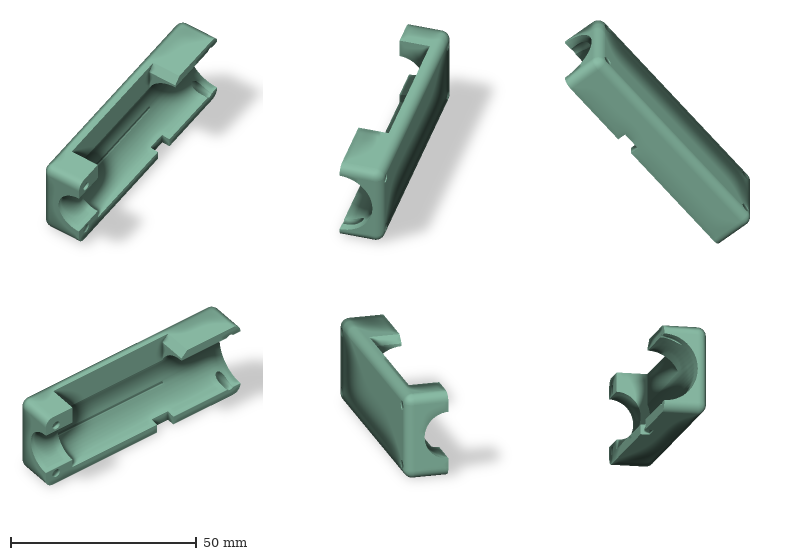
import cadquery as cq

DEPTH = 12.0
LENGTH = 66.0
HEIGHT = 24.0
MID_Z = HEIGHT / 2
EDGE_RADIUS = 2.5

HOLE_DIAMETER = 2.52
HOLE_INSET = 3.5

NECK_RADIUS = 6.65
BARREL_RADIUS = 9.25
NEAR_WALL = 9.0

CAVITY_END = 46.0
BACK_WALL = 3.5
CAVITY_FLOOR_Z = 7.5

LEAD_IN = 2.0

NOTCH_CENTER_Y = 40.5
NOTCH_WIDTH = 5.5
NOTCH_DEPTH = 2.4


def make_block():
    block = cq.Workplane("XY").box(DEPTH, LENGTH, HEIGHT, centered=False)
    return block.edges("|X or <X").fillet(EDGE_RADIUS)


def make_bore(radius, y_start, y_end):
    profile = cq.Workplane("XZ", origin=(DEPTH, y_start, MID_Z)).circle(radius)
    return profile.extrude(y_start - y_end)


def make_cavity():
    outline = [
        (NEAR_WALL, CAVITY_FLOOR_Z),
        (NEAR_WALL, HEIGHT),
        (CAVITY_END + LEAD_IN, HEIGHT),
        (CAVITY_END, HEIGHT - LEAD_IN),
        (CAVITY_END, CAVITY_FLOOR_Z),
    ]
    profile = cq.Workplane("YZ", origin=(BACK_WALL, 0, 0)).polyline(outline).close()
    return profile.extrude(DEPTH - BACK_WALL)


def make_notch():
    notch = cq.Workplane("XY").box(NOTCH_DEPTH, NOTCH_WIDTH, MID_Z, centered=(False, True, False))
    return notch.translate((DEPTH - NOTCH_DEPTH, NOTCH_CENTER_Y, 0))


def make_screw_holes():
    centers = [
        (y, z)
        for y in (HOLE_INSET, LENGTH - HOLE_INSET)
        for z in (HOLE_INSET, HEIGHT - HOLE_INSET)
    ]
    return cq.Workplane("YZ").pushPoints(centers).circle(HOLE_DIAMETER / 2).extrude(DEPTH)


result = (
    make_block()
    .cut(make_bore(NECK_RADIUS, 0, NEAR_WALL))
    .cut(make_bore(BARREL_RADIUS, NEAR_WALL, LENGTH))
    .cut(make_cavity())
    .cut(make_notch())
    .cut(make_screw_holes())
)